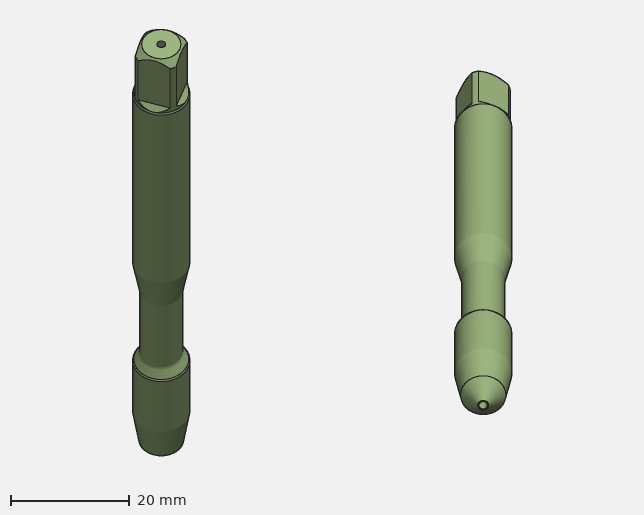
import cadquery as cq

total_length = 103.0
body_diameter = 9.7
neck_diameter = 7.3
coolant_hole_diameter = 1.4

square_width = 7.3
square_corner_diameter = 9.3
square_bottom = 91.8
top_face_diameter = 6.6
top_chamfer = (square_corner_diameter - top_face_diameter) / 2

edge_break_diameter = 9.3
edge_break_height = 0.3

shank_bottom = 48.0
neck_top = 41.0
neck_bottom = 25.2
neck_fillet = 1.0

head_top = 23.5
lead_top = 10.4
lead_bottom = 3.3
lead_end_diameter = 7.6
tip_diameter = 1.9


def revolve_bored(profile):
    """Revolve (radius, height) points about Z, bored by the coolant hole."""
    bore_radius = coolant_hole_diameter / 2
    points = [(bore_radius, profile[0][1]), *profile, (bore_radius, profile[-1][1])]
    return cq.Workplane("XZ").polyline(points).close().revolve(360, (0, 0, 0), (0, 1, 0))


def square_envelope(plane):
    """Slab that leaves two opposite drive flats and their 45 degree run-outs."""
    half_body = body_diameter / 2
    half_square = square_width / 2
    runout_bottom = square_bottom - (half_body - half_square)
    points = [
        (half_body, 0),
        (half_body, runout_bottom),
        (half_square, square_bottom),
        (half_square, total_length),
        (-half_square, total_length),
        (-half_square, square_bottom),
        (-half_body, runout_bottom),
        (-half_body, 0),
    ]
    return cq.Workplane(plane).polyline(points).close().extrude(body_diameter, both=True)


def neck_end_selector(height):
    """Box that holds only the circular edge of the neck at a height."""
    reach = body_diameter
    margin = 0.1
    return cq.selectors.BoxSelector((-reach, -reach, height - margin), (reach, reach, height + margin))


def make_shank():
    """Shank with its neck and flared foot below and the square drive on top."""
    shank_shoulder = square_bottom - (square_corner_diameter - square_width) / 2
    turned = revolve_bored([
        (edge_break_diameter / 2, head_top),
        (neck_diameter / 2, neck_bottom),
        (neck_diameter / 2, neck_top),
        (body_diameter / 2, shank_bottom),
        (body_diameter / 2, shank_shoulder - edge_break_height),
        (square_corner_diameter / 2, shank_shoulder),
        (square_corner_diameter / 2, total_length - top_chamfer),
        (top_face_diameter / 2, total_length),
    ])
    for height in (neck_bottom, neck_top):
        turned = turned.edges(neck_end_selector(height)).fillet(neck_fillet)
    return turned.intersect(square_envelope("XZ")).intersect(square_envelope("YZ"))


def make_cutting_head():
    """Head with a plain cylinder, a tapered lead and a conical point."""
    return revolve_bored([
        (tip_diameter / 2, 0),
        (lead_end_diameter / 2, lead_bottom),
        (body_diameter / 2, lead_top),
        (body_diameter / 2, head_top - edge_break_height),
        (edge_break_diameter / 2, head_top),
    ])


shank = make_shank()
cutting_head = make_cutting_head()

result = cq.Compound.makeCompound([shank.val(), cutting_head.val()])